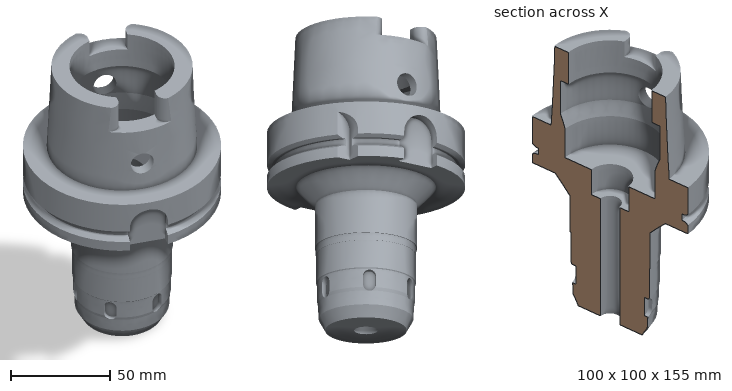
import cadquery as cq
import math

total_height = 155.0

flange_diameter = 100.0
flange_top = 105.0
flange_bottom = 76.0
groove_top = 86.6
groove_bottom = 83.0
groove_diameter = 92.0
groove_chamfer_height = 1.4
groove_chamfer_width = 2.3

taper_base_diameter = 76.0
taper_top_diameter = 71.3
mouth_diameter = 53.0
mouth_bottom = 135.0
cavity_diameter = 63.2
cavity_cone_top = 114.4
cavity_floor_diameter = 57.4
cavity_cone_angle = 20.0
cavity_floor = 88.7

slot_width = 20.0
slot_corner_radius = 4.6
tang_half_length = 32.4
left_slot_depth = 9.6
right_slot_depth = 14.9

hole_diameter = 12.0
cross_hole_z = 120.5
counterbore_diameter = 23.5
counterbore_depth = 15.5

keyway_width = 19.8
keyway_top = 100.5
keyway_floor_x = 44.0
notch_wall_x = 31.6
notch_wall_y = 31.3

neck_cone_diameter = 70.7
neck_diameter = 51.6
neck_cone_bottom = 66.0
neck_bottom = 43.5
collar_diameter = 50.7
collar_bottom = 39.7
sleeve_diameter = 50.4
sleeve_bottom = 25.1
nut_top = 24.6
nut_top_diameter = 49.6
nut_waist_diameter = 49.3
nut_waist_z = 14.9
nose_top_diameter = 48.5
nose_top = 13.2
nose_rim_diameter = 47.7
nose_rim_z = 5.9
nose_end_diameter = 41.0

wrench_slot_count = 6
wrench_slot_width = 6.5
wrench_slot_top = 24.0
wrench_slot_bottom = 13.0
wrench_slot_floor_radius = 22.0


def make_body():
    """Revolve the outer profile, listed from the nose up to the shank mouth."""
    groove_lip_diameter = flange_diameter - 2 * groove_chamfer_width
    profile = [
        (nose_end_diameter, 0),
        (nose_rim_diameter, nose_rim_z),
        (nose_top_diameter, nose_top),
        (nut_waist_diameter, nut_waist_z),
        (nut_top_diameter, nut_top),
        (sleeve_diameter, sleeve_bottom),
        (sleeve_diameter, collar_bottom),
        (collar_diameter, collar_bottom),
        (collar_diameter, neck_bottom),
        (neck_diameter, neck_bottom),
        (neck_diameter, neck_cone_bottom),
        (neck_cone_diameter, flange_bottom),
        (flange_diameter, flange_bottom),
        (flange_diameter, groove_bottom - groove_chamfer_height),
        (groove_lip_diameter, groove_bottom),
        (groove_diameter, groove_bottom),
        (groove_diameter, groove_top),
        (groove_lip_diameter, groove_top),
        (flange_diameter, groove_top + groove_chamfer_height),
        (flange_diameter, flange_top),
        (taper_base_diameter, flange_top),
        (taper_top_diameter, total_height),
    ]
    outline = [(diameter / 2, z) for diameter, z in profile]
    return (
        cq.Workplane("XZ")
        .polyline([(0, 0)] + outline + [(0, total_height)])
        .close()
        .revolve(360, (0, 0), (0, 1))
    )


def bore(diameter, bottom, top):
    """Cylinder on the holder axis between two heights."""
    return cq.Workplane("XY").workplane(offset=bottom).circle(diameter / 2).extrude(top - bottom)


def make_cavity():
    """Shank cavity: narrow mouth, wide undercut, steep cone and flat-floored well."""
    cone_width = (cavity_diameter - cavity_floor_diameter) / 2
    cone_height = cone_width / math.tan(math.radians(cavity_cone_angle))
    return (
        cq.Workplane("XZ")
        .moveTo(0, cavity_floor)
        .lineTo(cavity_floor_diameter / 2, cavity_floor)
        .lineTo(cavity_floor_diameter / 2, cavity_cone_top - cone_height)
        .lineTo(cavity_diameter / 2, cavity_cone_top)
        .lineTo(cavity_diameter / 2, mouth_bottom)
        .lineTo(mouth_diameter / 2, mouth_bottom)
        .lineTo(mouth_diameter / 2, total_height)
        .lineTo(0, total_height)
        .close()
        .revolve(360, (0, 0), (0, 1))
    )


def drive_slot(side, depth):
    """Mouth slot on one X side, with its two tang corners rounded off."""
    half_width = slot_width / 2
    reach = flange_diameter / 2
    arc_start_x = tang_half_length - slot_corner_radius
    arc_end_y = half_width + slot_corner_radius
    diagonal = slot_corner_radius * math.sqrt(0.5)
    arc_middle = (arc_start_x + diagonal, arc_end_y - diagonal)
    return (
        cq.Workplane("XY")
        .workplane(offset=total_height - depth)
        .moveTo(0, half_width)
        .lineTo(arc_start_x, half_width)
        .threePointArc(arc_middle, (tang_half_length, arc_end_y))
        .lineTo(tang_half_length, reach)
        .lineTo(reach, reach)
        .lineTo(reach, -reach)
        .lineTo(tang_half_length, -reach)
        .lineTo(tang_half_length, -arc_end_y)
        .threePointArc((arc_middle[0], -arc_middle[1]), (arc_start_x, -half_width))
        .lineTo(0, -half_width)
        .close()
        .extrude(depth)
        .rotate((0, 0, 0), (0, 0, 1), 0 if side > 0 else 180)
    )


def flange_keyway(center_y, floor_x):
    """Round-topped slot open at the flange bottom, cut from the +X rim in to floor_x."""
    radius = keyway_width / 2
    arc_center_z = keyway_top - radius
    return (
        cq.Workplane("YZ")
        .workplane(offset=floor_x)
        .moveTo(center_y - radius, flange_bottom)
        .lineTo(center_y - radius, arc_center_z)
        .threePointArc((center_y, keyway_top), (center_y + radius, arc_center_z))
        .lineTo(center_y + radius, flange_bottom)
        .close()
        .extrude(flange_diameter / 2 - floor_x)
    )


def wrench_slot(angle):
    """Upright flat-floored slot in the nut at the given angle about Z."""
    length = wrench_slot_top - wrench_slot_bottom
    center_z = (wrench_slot_top + wrench_slot_bottom) / 2
    return (
        cq.Workplane("YZ")
        .workplane(offset=wrench_slot_floor_radius)
        .center(0, center_z)
        .slot2D(length, wrench_slot_width, 90)
        .extrude(sleeve_diameter / 2 - wrench_slot_floor_radius)
        .rotate((0, 0, 0), (0, 0, 1), angle)
    )


result = make_body()

result = result.cut(bore(hole_diameter, 0, total_height))
result = result.cut(bore(counterbore_diameter, cavity_floor - counterbore_depth, cavity_floor))
result = result.cut(make_cavity())

cross_hole = (
    cq.Workplane("YZ")
    .center(0, cross_hole_z)
    .circle(hole_diameter / 2)
    .extrude(taper_base_diameter / 2, both=True)
)
result = result.cut(cross_hole)

result = result.cut(drive_slot(-1, left_slot_depth))
result = result.cut(drive_slot(1, right_slot_depth))

keyway_plus_x = flange_keyway(0, keyway_floor_x)
notch = flange_keyway(notch_wall_y + keyway_width / 2, notch_wall_x).mirror("YZ")
result = result.cut(keyway_plus_x).cut(keyway_plus_x.mirror("YZ")).cut(notch)

for index in range(wrench_slot_count):
    result = result.cut(wrench_slot(-90 + index * 360 / wrench_slot_count))